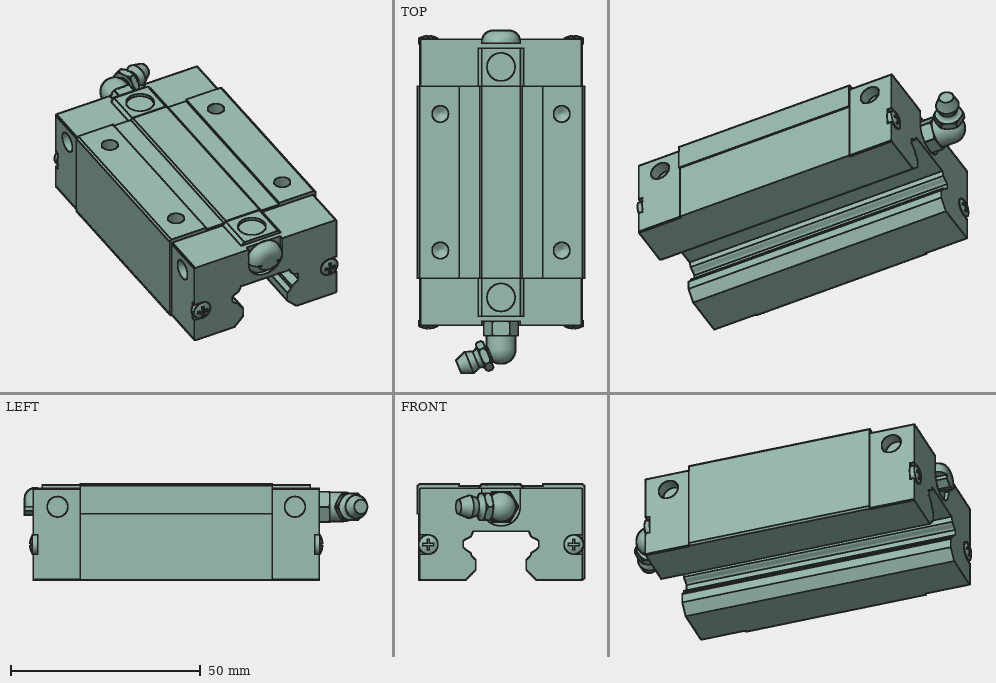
import cadquery as cq
import math


block_end = 25.3
cap_end = 35.35
plate_end = 37.7
total_length = 90.4

block_half_width = 22.015
block_top = 25.4
block_chamfer = 0.5
datum_relief = 0.32
datum_relief_top = 17.45
valley_depth = 0.5
pad_inner_edge = 11.0
strip_half_width = 5.1

cap_half_width = 21.4
cap_top = 24.2
cap_chamfer = 0.3
cap_strip_top = 25.1

channel_outline = [
    (9.3, 0.0),
    (6.645, 2.7),
    (6.645, 5.3),
    (7.8, 6.5),
    (8.0, 7.2),
    (9.4, 8.1),
    (9.9, 8.7),
    (9.9, 10.3),
    (9.4, 10.8),
    (8.3, 11.2),
    (7.9, 11.6),
    (7.3, 12.8),
]

mount_x = 16.0
mount_y = 18.0
mount_diameter = 4.3
mount_depth = 8.1
drill_angle = 118.0

port_y = 30.4
top_port_radius = 3.7
top_port_depth = 0.8
side_port_y = 31.3
side_port_radius = 2.7
side_port_depth = 3.5

grease_z = 19.35
recess_radius = 5.1
recess_depth = 1.1
recess_floor = plate_end - recess_depth

screw_x = 19.2
screw_z = 9.4
screw_radius = 2.5
screw_recess_depth = 1.2
screw_edge_height = 1.4
screw_head_height = 2.1
cross_length = 2.9
cross_width = 0.5
cross_depth = 0.45

hex_flats = 8.05
hex_round_radius = 4.6
hex_chamfer = 0.3
hex_end = 40.5
elbow_radius = 3.9
elbow_y = 44.0
spout_angle = 22.5
spout_hex_flats = 7.05
spout_hex_start = 3.6
spout_hex_end = 5.7
spout_hex_chamfer = 0.45
neck_radius = 2.35
neck_end = 7.1
bulb_radius = 3.1
bulb_at = 9.0
tip_radius = 1.9
tip_at = 12.1
spout_turn = math.radians(spout_angle)

spout_reach = tip_at * math.sin(spout_turn) + tip_radius * math.cos(spout_turn)
plug_end = total_length - (elbow_y + spout_reach)
plug_fillet = 2.9
plug_radius = recess_radius - plug_fillet
plug_key_half_width = 2.6
plug_key_side = 1.1
plug_key_drop = 2.2


def with_mirror(half_outline):
    """Close a half outline, listed on the +X side, with its mirror image on the -X side."""
    return half_outline + [(-x, z) for x, z in reversed(half_outline)]


def prism(outline, y_start, y_end):
    """Extrude a closed (x, z) outline along Y."""
    sketch = cq.Workplane("XZ", origin=(0, y_start, 0)).polyline(outline).close()
    return sketch.extrude(y_start - y_end)


def cylinder_y(x, z, radius, y_start, y_end):
    sketch = cq.Workplane("XZ", origin=(x, y_start, z)).circle(radius)
    return sketch.extrude(y_start - y_end)


def make_block():
    relief_x = datum_relief - block_half_width
    valley = block_top - valley_depth
    strip_base = strip_half_width + valley_depth
    outline = [
        (relief_x, 0),
        (relief_x, datum_relief_top),
        (-block_half_width, datum_relief_top),
        (-block_half_width, block_top - block_chamfer),
        (block_chamfer - block_half_width, block_top),
        (-pad_inner_edge, block_top),
        (-pad_inner_edge, valley),
        (-strip_base, valley),
        (-strip_half_width, block_top),
        (strip_half_width, block_top),
        (strip_base, valley),
        (pad_inner_edge, valley),
        (pad_inner_edge, block_top),
        (block_half_width - block_chamfer, block_top),
        (block_half_width, block_top - block_chamfer),
        (block_half_width, block_chamfer),
        (block_half_width - block_chamfer, 0),
    ]
    return prism(outline, -block_end, block_end)


def make_end_core():
    """Both end caps with their raised strips, run through the block, plus the end plates."""
    right_side = [
        (cap_half_width - cap_chamfer, 0),
        (cap_half_width, cap_chamfer),
        (cap_half_width, cap_top - cap_chamfer),
        (cap_half_width - cap_chamfer, cap_top),
    ]
    right_strip = [
        (strip_half_width + cap_strip_top - cap_top, cap_top),
        (strip_half_width, cap_strip_top),
    ]
    plates = prism(with_mirror(right_side), -plate_end, plate_end)
    caps = prism(with_mirror(right_side + right_strip), -cap_end, cap_end)
    return plates.union(caps, clean=False)


def make_channel():
    return prism(with_mirror(channel_outline), -plate_end, plate_end)


def make_mount_holes():
    radius = mount_diameter / 2
    cone = radius / math.tan(math.radians(drill_angle / 2))
    drill = (
        cq.Workplane("XZ")
        .polyline([(0, -cone), (radius, 0), (radius, mount_depth), (0, mount_depth)])
        .close()
        .revolve(360, (0, 0), (0, 1))
    )
    holes = cq.Workplane("XY")
    for x in (-mount_x, mount_x):
        for y in (-mount_y, mount_y):
            holes = holes.add(drill.translate((x, y, block_top - mount_depth)))
    return holes.combine()


def make_cap_ports():
    """Shallow round recess on top and a blind hole in each side of both caps."""
    ports = (
        cq.Workplane("XY", origin=(0, 0, cap_strip_top))
        .pushPoints([(0, -port_y), (0, port_y)])
        .circle(top_port_radius)
        .extrude(-top_port_depth)
    )
    side_holes = cq.Workplane("YZ").pushPoints([(-side_port_y, grease_z), (side_port_y, grease_z)])
    side_holes = side_holes.circle(side_port_radius).extrude(cap_half_width, both=True)
    keep_width = 2 * (cap_half_width - side_port_depth)
    middle = cq.Workplane("XY").box(keep_width, 2 * plate_end, 2 * block_top)
    return ports.union(side_holes.cut(middle))


def make_grease_recess():
    """U-shaped recess at the -Y end, open at the top."""
    round_end = cylinder_y(0, grease_z, recess_radius, -plate_end, -recess_floor)
    slot = cq.Workplane("XY").box(2 * recess_radius, recess_depth, cap_top - grease_z, centered=(True, False, False))
    return round_end.union(slot.translate((0, -plate_end, grease_z)))


def make_screw_recess(x):
    """Round recess at the -Y end, open towards the nearest side."""
    side = math.copysign(1, x)
    floor = screw_recess_depth - plate_end
    round_end = cylinder_y(x, screw_z, screw_radius, -plate_end, floor)
    slot = cq.Workplane("XY").box(screw_radius * 2, screw_recess_depth, screw_radius * 2)
    slot_centre = (x + side * screw_radius, floor - screw_recess_depth / 2, screw_z)
    return round_end.union(slot.translate(slot_centre))


def make_screw(x):
    """Domed screw head with a cross slot, at the -Y end."""
    dome_height = screw_head_height - screw_edge_height
    dome_sphere = (screw_radius ** 2 + dome_height ** 2) / (2 * dome_height)
    half_angle = math.asin(screw_radius / dome_sphere) / 2
    mid_x = dome_sphere * math.sin(half_angle)
    mid_z = screw_head_height - dome_sphere * (1 - math.cos(half_angle))
    head = (
        cq.Workplane("XY")
        .lineTo(screw_radius, 0)
        .lineTo(screw_radius, screw_edge_height)
        .threePointArc((mid_x, mid_z), (0, screw_head_height))
        .close()
        .revolve(360, (0, 0), (0, 1))
    )
    for width, height in ((cross_length, cross_width), (cross_width, cross_length)):
        slot = cq.Workplane("XY").box(width, 2 * cross_depth, height)
        head = head.cut(slot.translate((0, screw_head_height, 0)))
    head = head.mirror("XZ")
    return head.translate((x, screw_recess_depth - plate_end, screw_z))


def make_plug():
    """Rounded half plug above the grease axis with a pointed key below it, at the +Y end."""
    diagonal = plug_fillet * math.sqrt(0.5)
    dome = (
        cq.Workplane("XY")
        .moveTo(0, recess_floor)
        .lineTo(recess_radius, recess_floor)
        .lineTo(recess_radius, plug_end - plug_fillet)
        .threePointArc(
            (plug_radius + diagonal, plug_end - plug_fillet + diagonal),
            (plug_radius, plug_end),
        )
        .lineTo(0, plug_end)
        .close()
        .revolve(360, (0, 0), (0, 1))
    )
    upper_half = cq.Workplane("XY").box(
        2 * recess_radius, 2 * plug_end, recess_radius, centered=(True, True, False)
    )
    dome = dome.intersect(upper_half).translate((0, 0, grease_z))
    key = [
        (-plug_key_half_width, grease_z),
        (-plug_key_half_width, grease_z - plug_key_side),
        (0, grease_z - plug_key_drop),
        (plug_key_half_width, grease_z - plug_key_side),
        (plug_key_half_width, grease_z),
    ]
    return dome.union(prism(key, recess_floor, plug_end))


def make_carriage():
    carriage = make_block().union(make_end_core())
    carriage = carriage.cut(make_channel()).cut(make_mount_holes()).cut(make_cap_ports())
    recesses = [make_grease_recess(), make_screw_recess(-screw_x), make_screw_recess(screw_x)]
    for recess in recesses:
        carriage = carriage.cut(recess).cut(recess.mirror("XZ"))
    for x in (-screw_x, screw_x):
        screw = make_screw(x)
        carriage = carriage.union(screw).union(screw.mirror("XZ"))
    return carriage.union(make_plug())


def make_hexagon(flats, round_radius, chamfer, height):
    """Hexagon along +Z, corners on the X axis, with its ends chamfered in the round."""
    hexagon = cq.Workplane("XY").polygon(6, 2 * flats / math.sqrt(3)).extrude(height)
    rounding = cq.Workplane("XY").circle(round_radius).extrude(height).edges().chamfer(chamfer)
    return hexagon.intersect(rounding)


def make_spout():
    """Nipple spout along +Z from the ball centre at the origin."""
    flare_radius = spout_hex_flats / 2
    mid_radius = neck_radius + (flare_radius - neck_radius) / 4
    mid_height = spout_hex_end + (neck_end - spout_hex_end) / 3
    stem = (
        cq.Workplane("XZ")
        .lineTo(neck_radius, 0)
        .lineTo(neck_radius, spout_hex_end)
        .lineTo(flare_radius, spout_hex_end)
        .threePointArc((mid_radius, mid_height), (neck_radius, neck_end))
        .lineTo(bulb_radius, bulb_at)
        .lineTo(tip_radius, tip_at)
        .lineTo(0, tip_at)
        .close()
        .revolve(360, (0, 0), (0, 1))
    )
    hexagon = make_hexagon(
        spout_hex_flats,
        spout_hex_flats / math.sqrt(3),
        spout_hex_chamfer,
        spout_hex_end - spout_hex_start,
    )
    return stem.union(hexagon.translate((0, 0, spout_hex_start)))


def make_nipple():
    base = make_hexagon(hex_flats, hex_round_radius, hex_chamfer, hex_end - recess_floor)
    base = base.rotate((0, 0, 0), (1, 0, 0), 90).translate((0, -recess_floor, grease_z))
    ball_centre = (0, -elbow_y, grease_z)
    elbow = cylinder_y(0, grease_z, elbow_radius, -elbow_y, -recess_floor)
    ball = cq.Workplane("XY").sphere(elbow_radius).translate(ball_centre)
    spout_plane = cq.Plane(
        origin=ball_centre,
        xDir=(-math.sin(spout_turn), math.cos(spout_turn), 0),
        normal=(-math.cos(spout_turn), -math.sin(spout_turn), 0),
    )
    spout = cq.Workplane(make_spout().val().moved(cq.Location(spout_plane)))
    return base.union(elbow).union(ball).union(spout)


carriage = make_carriage()
grease_nipple = make_nipple()
result = cq.Compound.makeCompound([carriage.val(), grease_nipple.val()])